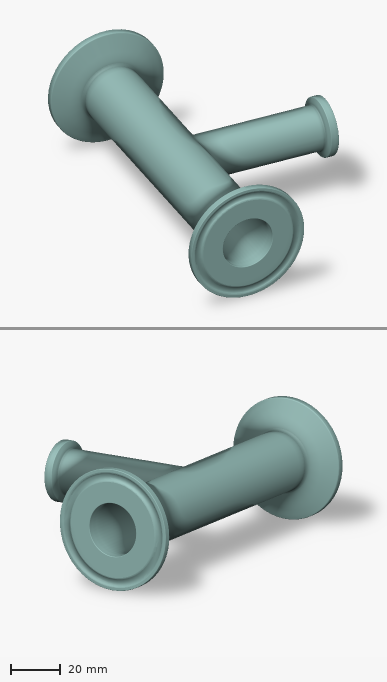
import cadquery as cq
import math

run_length = 133.4
run_diameter = 25.3
run_bore = 22.1
mouth_fillet = 0.3

branch_reach = 66.7
branch_diameter = 19.1
branch_bore = 15.7
joint_fillet = 1.3

clamp_angle = 20.0

run_flange_diameter = 50.4
run_rim_width = 3.0
run_rear_fillet = 0.5
run_face_fillet = 0.3
run_neck_fillet = 1.3

groove_diameter = 43.7
groove_width = 3.2
groove_depth = 1.1
groove_lip_fillet = 0.8

branch_flange_diameter = 25.3
branch_rim_width = 3.5
branch_rim_fillet = 0.4
branch_neck_fillet = 0.5


def spin(profile):
    """Revolve a closed profile drawn on the XZ plane about Z."""
    return profile.revolve(360, (0, 0, 0), (0, 1, 0))


def rod(diameter, length):
    """Cylinder rising along Z from the origin."""
    return cq.Workplane("XY").circle(diameter / 2).extrude(length)


def place_on_run(body):
    """Turn a body from +Z to +X and move its base to the -X end of the run."""
    return body.rotate((0, 0, 0), (0, 1, 0), 90).translate((-run_length / 2, 0, 0))


def point_along_y(body):
    """Turn a body from +Z to +Y."""
    return body.rotate((0, 0, 0), (1, 0, 0), -90)


def flanged_pipe(flange_diameter, rim_width, pipe_diameter, length, neck_fillet):
    """Solid pipe along +Z with a clamp flange whose face is at Z = 0."""
    flange_radius = flange_diameter / 2
    pipe_radius = pipe_diameter / 2
    slope_length = (flange_radius - pipe_radius) * math.tan(math.radians(clamp_angle))
    slope_end = rim_width + slope_length
    body = spin(
        cq.Workplane("XZ")
        .lineTo(flange_radius, 0)
        .lineTo(flange_radius, rim_width)
        .lineTo(pipe_radius, slope_end)
        .lineTo(pipe_radius, length)
        .lineTo(0, length)
        .close()
    )
    neck_corner = cq.selectors.NearestToPointSelector((0, 0, slope_end))
    return body.edges("%CIRCLE").edges(neck_corner).fillet(neck_fillet)


def round_rim(body, rim_width, rear_fillet, face_fillet):
    """Round the rear corner of a flange rim, then the corner at its face."""
    rear_corner = cq.selectors.NearestToPointSelector((0, 0, rim_width))
    body = body.edges("%CIRCLE").edges(rear_corner).fillet(rear_fillet)
    return body.edges("<Z").fillet(face_fillet)


def cut_gasket_groove(body):
    """Cut the gasket groove into the face at Z = 0 and round both of its lips."""
    middle = groove_diameter / 2
    inner = middle - groove_width / 2
    outer = middle + groove_width / 2
    ring = spin(
        cq.Workplane("XZ")
        .moveTo(inner, 0)
        .threePointArc((middle, groove_depth), (outer, 0))
        .close()
    )
    lips = cq.selectors.RadiusNthSelector(0) + cq.selectors.RadiusNthSelector(1)
    return body.cut(ring).edges("<Z").edges(lips).fillet(groove_lip_fillet)


def run():
    """Solid run with a grooved flange on each end, mirrored about the middle."""
    half = flanged_pipe(
        run_flange_diameter, run_rim_width, run_diameter, run_length / 2, run_neck_fillet
    )
    half = round_rim(half, run_rim_width, run_rear_fillet, run_face_fillet)
    left = place_on_run(cut_gasket_groove(half))
    return left.union(left.mirror("YZ"))


def branch():
    """Solid branch reaching from the run axis to its flange face."""
    body = flanged_pipe(
        branch_flange_diameter, branch_rim_width, branch_diameter, branch_reach, branch_neck_fillet
    )
    body = round_rim(body, branch_rim_width, branch_rim_fillet, branch_rim_fillet)
    return point_along_y(body.mirror("XY").translate((0, 0, branch_reach)))


def round_joint(tee):
    """Blend the branch into the run where the two pipes meet."""
    joint = cq.selectors.BoxSelector(
        (-branch_diameter, 0, -branch_diameter),
        (branch_diameter, run_diameter / 2 + joint_fillet, branch_diameter),
        boundingbox=True,
    )
    return tee.edges(joint).fillet(joint_fillet)


def cut_bores(tee):
    """Cut the through bore of the run, round its mouths, then cut the branch bore into it."""
    tee = tee.cut(place_on_run(rod(run_bore, run_length)))
    mouths = cq.selectors.RadiusNthSelector(0)
    tee = tee.faces("<X or >X").edges(mouths).fillet(mouth_fillet)
    return tee.cut(point_along_y(rod(branch_bore, branch_reach)))


result = cut_bores(round_joint(run().union(branch())))